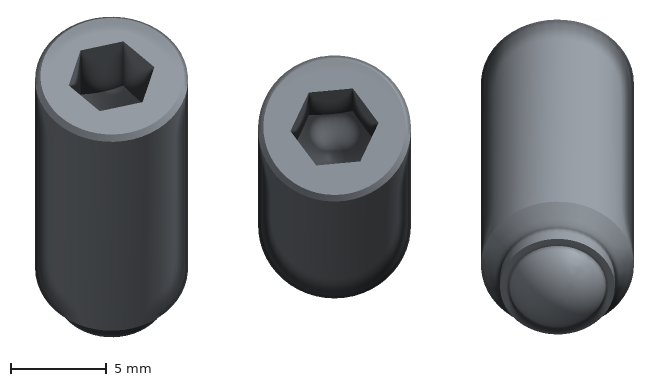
import cadquery as cq
import math

total_length = 21.2
body_diameter = 8.0

nose_diameter = 6.0
nose_height = 1.02
taper_height = (body_diameter - nose_diameter) / 2

rim_chamfer = 0.28

ball_diameter = 5.51
ball_protrusion = 1.74

socket_across_flats = 4.0
socket_corner_diameter = socket_across_flats / math.cos(math.radians(30))
socket_depth = 4.0
socket_tip_angle = 120.0

ball_center_z = ball_diameter / 2
nose_bottom_z = ball_protrusion
taper_bottom_z = nose_bottom_z + nose_height
taper_top_z = taper_bottom_z + taper_height


def make_ball():
    return cq.Workplane("XY").sphere(ball_diameter / 2).translate((0, 0, ball_center_z))


def make_hex_socket():
    """Hexagonal prism whose lower end narrows to a point as a cone."""
    corner_radius = socket_corner_diameter / 2
    tip_height = corner_radius / math.tan(math.radians(socket_tip_angle / 2))
    floor_z = total_length - socket_depth
    tip_z = floor_z - tip_height
    prism = (
        cq.Workplane("XY", origin=(0, 0, tip_z))
        .polygon(6, socket_corner_diameter)
        .extrude(total_length - tip_z)
    )
    pointed_bore = (
        cq.Workplane("XZ")
        .moveTo(0, tip_z)
        .lineTo(corner_radius, floor_z)
        .lineTo(corner_radius, total_length)
        .lineTo(0, total_length)
        .close()
        .revolve(360, (0, 0, 0), (0, 1, 0))
    )
    return prism.intersect(pointed_bore)


def make_housing():
    """Turned body with a hexagon socket on top and a spherical seat in the nose."""
    body_radius = body_diameter / 2
    nose_radius = nose_diameter / 2
    turned_body = (
        cq.Workplane("XZ")
        .moveTo(0, nose_bottom_z)
        .lineTo(nose_radius, nose_bottom_z)
        .lineTo(nose_radius, taper_bottom_z)
        .lineTo(body_radius, taper_top_z)
        .lineTo(body_radius, total_length - rim_chamfer)
        .lineTo(body_radius - rim_chamfer, total_length)
        .lineTo(0, total_length)
        .close()
        .revolve(360, (0, 0, 0), (0, 1, 0))
    )
    return turned_body.cut(make_hex_socket()).cut(make_ball())


housing = make_housing()
ball = make_ball()

result = cq.Compound.makeCompound([housing.solids().val(), ball.solids().val()])